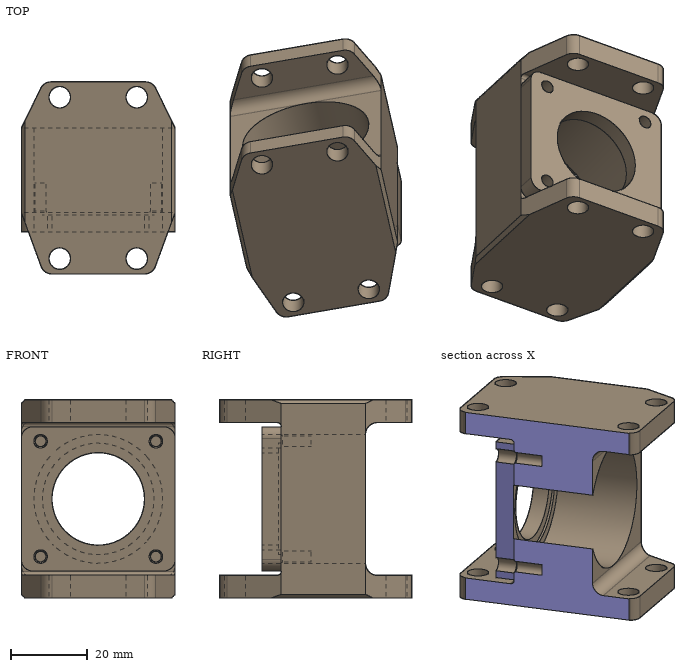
import cadquery as cq

width = 40.0
height = 51.6
block_depth = 22.0
front_overhang = 16.0
rear_overhang = 12.0
flange_thickness = 6.0
flange_end_width = 28.3
flange_corner_radius = 3.0
edge_chamfer = 1.0
front_root_radius = 1.0
rear_root_radius = 3.0

bolt_hole_diameter = 5.5
bolt_pitch_x = 20.0
bolt_edge_distance = 4.0

plate_thickness = 5.0
plate_height = 37.5
plate_corner_radius = 3.0

screw_pitch = 30.0
screw_clearance_diameter = 3.5
screw_tapped_diameter = 2.8
screw_tapped_depth = 7.75

plate_bore_diameter = 24.0
housing_bore_diameter = 33.5
plate_recess_diameter = 29.0
plate_recess_depth = 0.6

front_face = -block_depth / 2
rear_face = block_depth / 2
front_end = front_face - front_overhang
rear_end = rear_face + rear_overhang
plate_front = front_face - plate_thickness
flange_gap = height - 2 * flange_thickness
screw_points = [(sx * screw_pitch / 2, sz * screw_pitch / 2) for sx in (-1, 1) for sz in (-1, 1)]


def disc_along_y(diameter, y_start, length):
    """Cylinder on the bore axis, running toward +Y."""
    return cq.Workplane("XZ", origin=(0, y_start, 0)).circle(diameter / 2).extrude(-length)


def screw_holes(diameter, y_start, length):
    """Four cylinders at the screw positions, running toward +Y."""
    plane = cq.Workplane("XZ", origin=(0, y_start, 0))
    return plane.pushPoints(screw_points).circle(diameter / 2).extrude(-length)


def housing_outline():
    """Plan outline extruded to full height: straight sides, tapering to both ends."""
    half_width = width / 2
    half_end = flange_end_width / 2
    prism = (
        cq.Workplane("XY", origin=(0, 0, -height / 2))
        .polyline([
            (-half_end, front_end),
            (half_end, front_end),
            (half_width, front_face),
            (half_width, rear_face),
            (half_end, rear_end),
            (-half_end, rear_end),
            (-half_width, rear_face),
            (-half_width, front_face),
        ])
        .close()
        .extrude(height)
    )
    end_corners = prism.edges("|Z and (<Y or >Y)")
    return end_corners.fillet(flange_corner_radius)


def chamfered_envelope():
    """Box with its long edges along Y chamfered, which bevels the housing sides."""
    length = rear_end - front_end
    middle = (front_end + rear_end) / 2
    box = cq.Workplane("XY").box(width, length, height).translate((0, middle, 0))
    return box.edges("|Y").chamfer(edge_chamfer)


def flange_space(overhang, root_radius):
    """Space between the flanges on the +Y side, rounded at the roots beside the block."""
    space = cq.Workplane("XY").box(width, overhang, flange_gap).translate((0, rear_face + overhang / 2, 0))
    return space.edges("|X and <Y").fillet(root_radius)


def tapped_holes():
    """Blind screw holes in the block, each with a countersunk mouth."""
    countersink = (screw_clearance_diameter - screw_tapped_diameter) / 2
    holes = screw_holes(screw_tapped_diameter, front_face, screw_tapped_depth)
    for x, z in screw_points:
        mouth = cq.Solid.makeCone(
            screw_clearance_diameter / 2, screw_tapped_diameter / 2, countersink,
            pnt=cq.Vector(x, front_face, z), dir=cq.Vector(0, 1, 0),
        )
        holes = holes.union(cq.Workplane(mouth))
    return holes


def bolt_holes():
    """Four holes through both flanges."""
    points = [
        (side * bolt_pitch_x / 2, y)
        for side in (-1, 1)
        for y in (front_end + bolt_edge_distance, rear_end - bolt_edge_distance)
    ]
    plane = cq.Workplane("XY", origin=(0, 0, -height / 2))
    return plane.pushPoints(points).circle(bolt_hole_diameter / 2).extrude(height)


def make_housing():
    front_space = flange_space(front_overhang, front_root_radius).mirror("XZ")
    return (
        housing_outline()
        .intersect(chamfered_envelope())
        .cut(front_space)
        .cut(flange_space(rear_overhang, rear_root_radius))
        .cut(disc_along_y(housing_bore_diameter, front_face, block_depth))
        .cut(tapped_holes())
        .cut(bolt_holes())
    )


def make_plate():
    """Front plate with rounded corners, central bore, rear recess and screw clearance holes."""
    recess_start = front_face - plate_recess_depth
    blank = (
        cq.Workplane("XZ", origin=(0, plate_front, 0))
        .rect(width, plate_height)
        .extrude(-plate_thickness)
        .edges("|Y")
        .fillet(plate_corner_radius)
    )
    return (
        blank
        .cut(disc_along_y(plate_bore_diameter, plate_front, plate_thickness))
        .cut(disc_along_y(plate_recess_diameter, recess_start, plate_recess_depth))
        .cut(screw_holes(screw_clearance_diameter, plate_front, plate_thickness))
    )


housing = make_housing()
plate = make_plate()
result = cq.Compound.makeCompound([housing.val(), plate.val()])